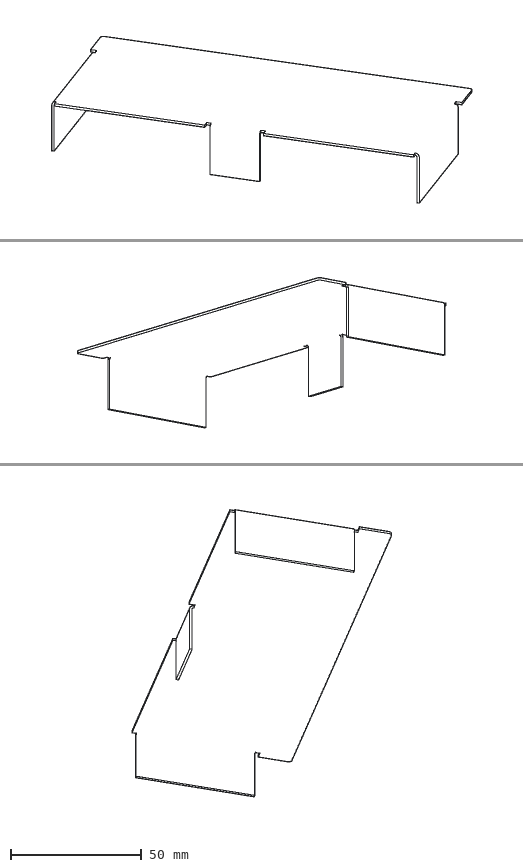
import cadquery as cq

length = 150.0
depth = 63.8
height = 21.0

thickness = 1.0
bend_radius = 1.6
inner_radius = bend_radius - thickness
flange_setback = 0.8
bend_line_inset = flange_setback + bend_radius

rear_strip_depth = 13.0
rear_corner_radius = 1.4

relief = 1.8
side_flange_start = rear_strip_depth + relief
side_flange_width = depth - side_flange_start - relief
tab_width = 20.1
tab_notch_width = tab_width + 2 * relief


def make_plate():
    """Flat sheet with narrowed sides, a front notch and rounded rear corners."""
    half_length = length / 2
    half_body = half_length - bend_line_inset
    half_notch = tab_notch_width / 2
    notch_y = -depth + bend_line_inset
    right_outline = [
        (half_length, 0),
        (half_length, -rear_strip_depth),
        (half_body, -rear_strip_depth),
        (half_body, -depth),
        (half_notch, -depth),
        (half_notch, notch_y),
    ]
    left_outline = [(-x, y) for x, y in reversed(right_outline)]
    plate = cq.Workplane("XY").polyline(right_outline + left_outline).close().extrude(-thickness)
    return plate.edges("|Z").edges(">Y").fillet(rear_corner_radius)


def make_flange(width):
    """Bent flange centred on Y, running from its bend line at X = 0 toward +X and down."""
    return (
        cq.Workplane("XZ")
        .moveTo(0, 0)
        .radiusArc((bend_radius, -bend_radius), bend_radius)
        .lineTo(bend_radius, -height)
        .lineTo(inner_radius, -height)
        .lineTo(inner_radius, -bend_radius)
        .radiusArc((0, -thickness), -inner_radius)
        .close()
        .extrude(width / 2, both=True)
    )


bend_x = length / 2 - bend_line_inset
side_flange_y = -side_flange_start - side_flange_width / 2
side_flange = make_flange(side_flange_width)
right_flange = side_flange.translate((bend_x, side_flange_y, 0))
left_flange = right_flange.mirror("YZ")

axis_start = (0, 0, 0)
axis_end = (0, 0, 1)
front_tab = make_flange(tab_width).rotate(axis_start, axis_end, -90)
front_tab = front_tab.translate((0, -depth + bend_line_inset, 0))

result = make_plate().union(right_flange).union(left_flange).union(front_tab)